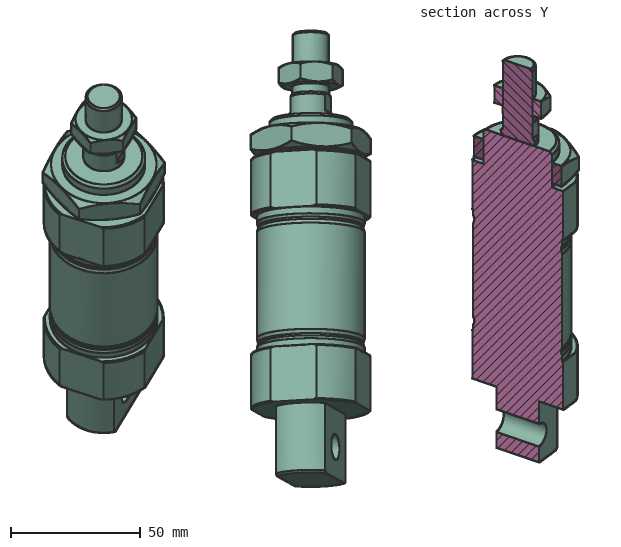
import cadquery as cq
import math

REAR_HEAD_BOTTOM = 27.3
REAR_HEAD_TOP = 49.0
FRONT_HEAD_BOTTOM = 103.2
FRONT_HEAD_TOP = 125.3
COLLAR_TOP = 141.0
ROD_SHOULDER = 151.0
ROD_TIP = 175.0

HEAD_ACROSS_FLATS = 42.5
HEAD_FLAT_WIDTH = 18.5
HEAD_RADIUS = math.hypot(HEAD_ACROSS_FLATS, HEAD_FLAT_WIDTH) / 2
HEAD_CHAMFER = 0.44

BARREL_RADIUS = 41.6 / 2
GROOVE_DEPTH = 0.5
GROOVE_OFFSET = 2.6
GROOVE_HEAD_SLOPE = 1.2
GROOVE_FLOOR = 0.9
GROOVE_BARREL_SLOPE = 1.5

COLLAR_RADIUS = 32.0 / 2
COLLAR_CHAMFER = COLLAR_RADIUS - 29.8 / 2
EYE_THICKNESS = 20.0
EYE_CHAMFER = 0.9
EYE_HOLE_DIAMETER = 10.0
EYE_HOLE_HEIGHT = 12.2

ROD_RADIUS = 16.0 / 2
NECK_RADIUS = 14.4 / 2
THREAD_RADIUS = 14.0 / 2
THREAD_TIP_RADIUS = 12.5 / 2
THREAD_TIP_CHAMFER = THREAD_RADIUS - THREAD_TIP_RADIUS
ROD_SHOULDER_CHAMFER_HEIGHT = 1.0
WRENCH_ACROSS_FLATS = 14.0
WRENCH_FLAT_BOTTOM = 144.0

COLLAR_NUT_ACROSS_CORNERS = 47.5
COLLAR_NUT_BOTTOM = 126.9
COLLAR_NUT_HEIGHT = 9.5
ROD_NUT_ACROSS_CORNERS = 25.4
ROD_NUT_BOTTOM = 154.2
ROD_NUT_HEIGHT = 7.9
NUT_CHAMFER_ANGLE = math.radians(30)
NUT_FACE_RATIO = 0.99


def cylinder(radius, bottom, top):
    """Upright cylinder on the part axis."""
    return cq.Workplane("XY").workplane(offset=bottom).circle(radius).extrude(top - bottom)


def turned(profile):
    """Solid of revolution about Z from (radius, height) points that start and end on the axis."""
    return cq.Workplane("XZ").polyline(profile).close().revolve(360, (0, 0, 0), (0, 1, 0))


def make_head(bottom, top):
    """Chamfered round block with four flats."""
    block = cylinder(HEAD_RADIUS, bottom, top).faces("<Z or >Z").chamfer(HEAD_CHAMFER)
    square = (
        cq.Workplane("XY").workplane(offset=bottom)
        .rect(HEAD_ACROSS_FLATS, HEAD_ACROSS_FLATS).extrude(top - bottom)
    )
    return block.intersect(square)


def make_barrel():
    """Tube between the heads with a shallow sloped groove near each end."""
    floor_radius = BARREL_RADIUS - GROOVE_DEPTH
    floor_start = GROOVE_OFFSET + GROOVE_HEAD_SLOPE
    floor_end = floor_start + GROOVE_FLOOR
    groove = [
        (BARREL_RADIUS, GROOVE_OFFSET),
        (floor_radius, floor_start),
        (floor_radius, floor_end),
        (BARREL_RADIUS, floor_end + GROOVE_BARREL_SLOPE),
    ]
    rear_groove = [(r, REAR_HEAD_TOP + d) for r, d in groove]
    front_groove = [(r, FRONT_HEAD_BOTTOM - d) for r, d in reversed(groove)]
    return turned([
        (0, REAR_HEAD_TOP),
        (BARREL_RADIUS, REAR_HEAD_TOP),
        *rear_groove,
        *front_groove,
        (BARREL_RADIUS, FRONT_HEAD_BOTTOM),
        (0, FRONT_HEAD_BOTTOM),
    ])


def make_rear_eye():
    """Flattened round tongue with a cross hole for the pivot pin."""
    stem = cylinder(COLLAR_RADIUS, 0, REAR_HEAD_BOTTOM).faces("<Z").chamfer(EYE_CHAMFER)
    slab = (
        cq.Workplane("XY").rect(EYE_THICKNESS, 2 * COLLAR_RADIUS).extrude(REAR_HEAD_BOTTOM)
    )
    pin_hole = (
        cq.Workplane("YZ").center(0, EYE_HOLE_HEIGHT)
        .circle(EYE_HOLE_DIAMETER / 2).extrude(EYE_THICKNESS, both=True)
    )
    return stem.intersect(slab).cut(pin_hole)


def make_housing():
    """Barrel, both heads, front threaded collar and rear eye as one solid."""
    collar = cylinder(COLLAR_RADIUS, FRONT_HEAD_TOP, COLLAR_TOP).faces(">Z").chamfer(COLLAR_CHAMFER)
    return (
        make_barrel()
        .union(make_head(REAR_HEAD_BOTTOM, REAR_HEAD_TOP))
        .union(make_head(FRONT_HEAD_BOTTOM, FRONT_HEAD_TOP))
        .union(collar)
        .union(make_rear_eye())
    )


def make_rod():
    """Piston rod standing on the collar face, with two wrench flats facing +X and -X."""
    rod = turned([
        (0, COLLAR_TOP),
        (ROD_RADIUS, COLLAR_TOP),
        (ROD_RADIUS, ROD_SHOULDER - ROD_SHOULDER_CHAMFER_HEIGHT),
        (NECK_RADIUS, ROD_SHOULDER),
        (NECK_RADIUS, ROD_NUT_BOTTOM),
        (THREAD_RADIUS, ROD_NUT_BOTTOM),
        (THREAD_RADIUS, ROD_TIP - THREAD_TIP_CHAMFER),
        (THREAD_TIP_RADIUS, ROD_TIP),
        (0, ROD_TIP),
    ])
    flat_x = WRENCH_ACROSS_FLATS / 2
    cut_depth = ROD_RADIUS - flat_x
    flat_cut = (
        cq.Workplane("XZ")
        .polyline([
            (flat_x, WRENCH_FLAT_BOTTOM),
            (flat_x, ROD_SHOULDER),
            (ROD_RADIUS, ROD_SHOULDER),
            (ROD_RADIUS, WRENCH_FLAT_BOTTOM - cut_depth),
        ])
        .close().extrude(ROD_RADIUS, both=True)
    )
    return rod.cut(flat_cut).cut(flat_cut.mirror("YZ"))


def make_nut(across_corners, bore_radius, bottom, height):
    """Hexagon nut with corners on the Y axis and both faces chamfered."""
    corner_radius = across_corners / 2
    face_radius = corner_radius * math.cos(math.pi / 6) * NUT_FACE_RATIO
    chamfer_height = (corner_radius - face_radius) * math.tan(NUT_CHAMFER_ANGLE)
    top = bottom + height
    hexagon = (
        cq.Workplane("XY").workplane(offset=bottom)
        .transformed(rotate=(0, 0, 90)).polygon(6, across_corners).extrude(height)
    )
    chamfered_blank = turned([
        (0, bottom),
        (face_radius, bottom),
        (corner_radius, bottom + chamfer_height),
        (corner_radius, top - chamfer_height),
        (face_radius, top),
        (0, top),
    ])
    return hexagon.intersect(chamfered_blank).cut(cylinder(bore_radius, bottom, top))


housing = make_housing()
rod = make_rod()
collar_nut = make_nut(COLLAR_NUT_ACROSS_CORNERS, COLLAR_RADIUS, COLLAR_NUT_BOTTOM, COLLAR_NUT_HEIGHT)
rod_nut = make_nut(ROD_NUT_ACROSS_CORNERS, THREAD_RADIUS, ROD_NUT_BOTTOM, ROD_NUT_HEIGHT)

result = cq.Compound.makeCompound([housing.val(), rod.val(), collar_nut.val(), rod_nut.val()])